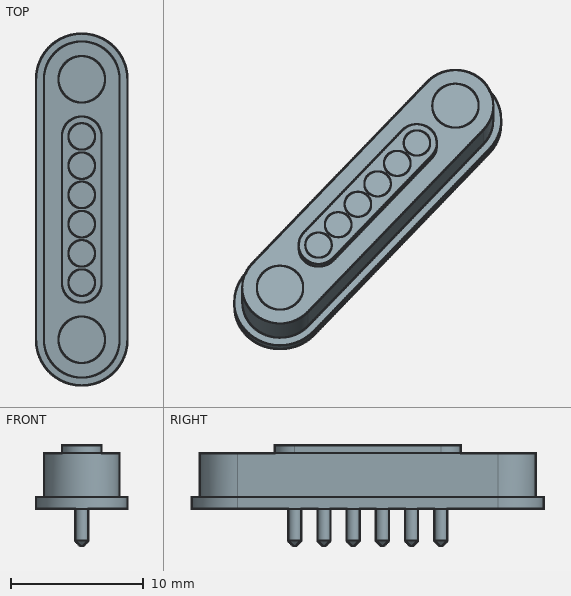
import cadquery as cq

flange_width = 6.9
flange_length = 26.5
flange_height = 0.9
flange_rim = 0.6
body_width = flange_width - 2 * flange_rim
body_length = flange_length - 2 * flange_rim
body_height = 3.3
pad_height = 0.6

pin_count = 6
pin_pitch = 2.2
head_diameter = 2.0
tail_diameter = 1.0
tail_projection = 2.8
tip_chamfer = 0.4

pad_border = 0.5
pad_width = head_diameter + 2 * pad_border
pad_length = (pin_count - 1) * pin_pitch + pad_width

magnet_diameter = 3.5
magnet_spacing = flange_length - flange_width

flange_top = flange_height
body_top = flange_top + body_height
pad_top = body_top + pad_height
pin_bottom = -tail_projection

pin_positions = [(i - (pin_count - 1) / 2) * pin_pitch for i in range(pin_count)]
magnet_positions = [-magnet_spacing / 2, magnet_spacing / 2]


def stadium(length, width, bottom, height):
    """Upright block with fully rounded ends, long axis along Y."""
    return cq.Workplane("XY").workplane(offset=bottom).slot2D(length, width, 90).extrude(height)


def cylinder(diameter, y, bottom, top):
    """Upright cylinder on the Y axis."""
    return cq.Workplane("XY", origin=(0, y, bottom)).circle(diameter / 2).extrude(top - bottom)


def make_pin(y):
    """Stepped pin: head flush with the pad, tail with a chamfered tip."""
    head = cylinder(head_diameter, y, flange_top, pad_top)
    tail = cylinder(tail_diameter, y, pin_bottom, flange_top).faces("<Z").chamfer(tip_chamfer)
    return head.union(tail)


def make_magnet(y):
    """Round magnet resting on the flange level, flush with the body top."""
    return cylinder(magnet_diameter, y, flange_top, body_top)


def make_housing(inserts):
    """Stepped housing with a matching hole or pocket for every insert."""
    housing = stadium(flange_length, flange_width, 0, flange_height)
    housing = housing.union(stadium(body_length, body_width, flange_top, body_height))
    housing = housing.union(stadium(pad_length, pad_width, body_top, pad_height))
    for insert in inserts:
        housing = housing.cut(insert)
    return housing


pins = [make_pin(y) for y in pin_positions]
magnets = [make_magnet(y) for y in magnet_positions]
housing = make_housing(pins + magnets)

bodies = [housing] + pins + magnets
result = cq.Compound.makeCompound([solid for body in bodies for solid in body.solids().vals()])